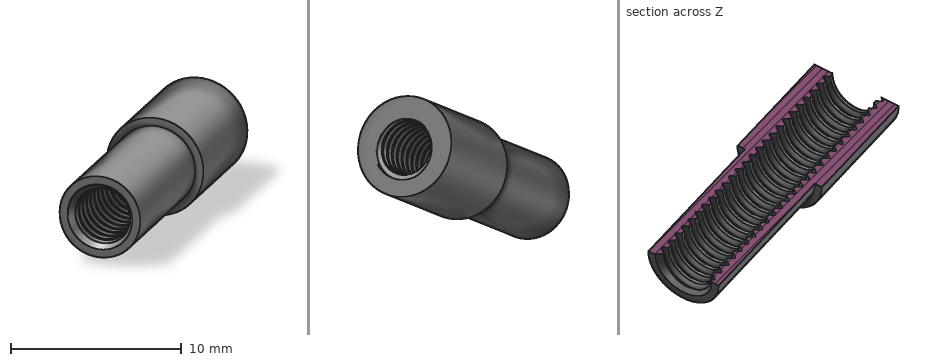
import cadquery as cq
import math

total_length = 18.0
neck_length = 10.0
head_diameter = 6.0
neck_diameter = 5.0

pitch = 0.7
minor_diameter = 3.3
root_diameter = 3.96
flank_half_angle = math.radians(30.0)
root_width = pitch / 8
groove_start_angle = 10.0

mouth_diameter = 4.0
countersink_depth = (mouth_diameter - minor_diameter) / 2

neck_end_y = -total_length / 2
shoulder_y = neck_end_y + neck_length
head_end_y = total_length / 2

groove_overrun = 1.5 * pitch
bore_overlap = 0.1


def make_sleeve():
    """Revolve the stepped wall, with its bore and countersink, about Y."""
    return (
        cq.Workplane("YZ")
        .moveTo(neck_end_y, -mouth_diameter / 2)
        .lineTo(neck_end_y, -neck_diameter / 2)
        .lineTo(shoulder_y, -neck_diameter / 2)
        .lineTo(shoulder_y, -head_diameter / 2)
        .lineTo(head_end_y, -head_diameter / 2)
        .lineTo(head_end_y, -minor_diameter / 2)
        .lineTo(neck_end_y + countersink_depth, -minor_diameter / 2)
        .close()
        .revolve(360, (0, 0, 0), (1, 0, 0))
    )


def make_thread_groove():
    """Build the right-hand helical groove as ruled faces between its four corner helices."""
    length = total_length + 2 * groove_overrun
    root_radius = root_diameter / 2
    inner_radius = minor_diameter / 2 - bore_overlap
    half_root = root_width / 2
    half_mouth = half_root + (root_radius - inner_radius) * math.tan(flank_half_angle)
    corners = [
        (inner_radius, -half_mouth),
        (root_radius, -half_root),
        (root_radius, half_root),
        (inner_radius, half_mouth),
    ]
    helices = [
        cq.Wire.makeHelix(pitch, length, radius, center=cq.Vector(0, 0, offset))
        for radius, offset in corners
    ]
    faces = [
        cq.Face.makeRuledSurface(helix, helices[index - 1])
        for index, helix in enumerate(helices)
    ]
    for end in (0, 1):
        section = cq.Wire.makePolygon([helix.positionAt(end) for helix in helices], close=True)
        faces.append(cq.Face.makeFromWires(section))
    groove = cq.Solid.makeSolid(cq.Shell.makeShell(faces)).fix()
    return (
        cq.Workplane(obj=groove)
        .rotate((0, 0, 0), (1, 0, 0), -90)
        .rotate((0, 0, 0), (0, 1, 0), groove_start_angle)
        .translate((0, neck_end_y - groove_overrun, 0))
    )


result = make_sleeve().cut(make_thread_groove()).solids()